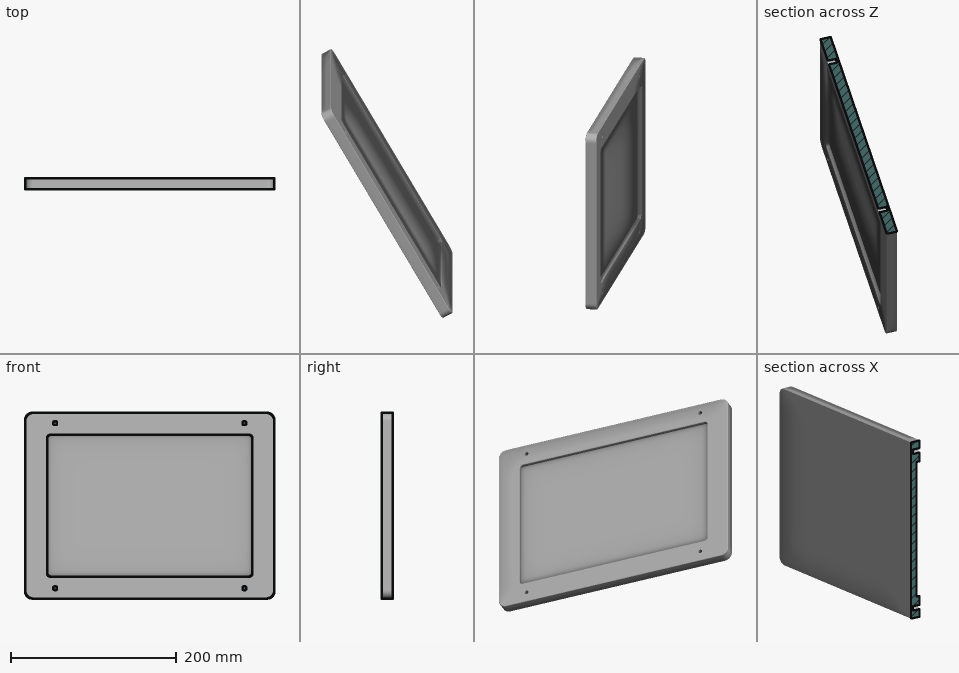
import cadquery as cq

plate_width = 301.39
plate_thickness = 13.44
plate_height = 224.88
plate_corner_radius = 9.525

edge_chamfer = 0.5
chamfer_angle = 45

recess_width = 247.6
recess_height = 170.9
recess_depth = 4.65
recess_corner_diameter = 8.89

hole_diameter = 4.98
hole_depth = 10.0
hole_spacing_x = 228.6
hole_spacing_z = 199.4


def rounded_slab(width, height, thickness, corner_radius):
    """Slab centred on X and Z, from the front face at Y = 0 back to Y = thickness."""
    return (
        cq.Workplane("XZ")
        .rect(width, height)
        .extrude(-thickness)
        .edges("|Y")
        .fillet(corner_radius)
    )


def make_plate():
    """Rounded plate with its front and back rims chamfered."""
    slab = rounded_slab(plate_width, plate_height, plate_thickness, plate_corner_radius)
    return slab.faces("<Y or >Y").edges().chamfer(edge_chamfer)


def make_recess():
    """Cutter for the recess, with a mouth that flares by the chamfer at the front face."""
    corner_radius = recess_corner_diameter / 2
    pocket = rounded_slab(recess_width, recess_height, recess_depth, corner_radius)
    mouth = (
        pocket.faces("<Y")
        .wires()
        .toPending()
        .offset2D(edge_chamfer)
        .extrude(-edge_chamfer, combine=False, taper=chamfer_angle)
    )
    return pocket.union(mouth)


def make_mounting_holes():
    """Four cylinders at the corners of a rectangle, running back from the front face."""
    return (
        cq.Workplane("XZ")
        .rect(hole_spacing_x, hole_spacing_z, forConstruction=True)
        .vertices()
        .circle(hole_diameter / 2)
        .extrude(-hole_depth)
    )


result = make_plate().cut(make_recess()).cut(make_mounting_holes())